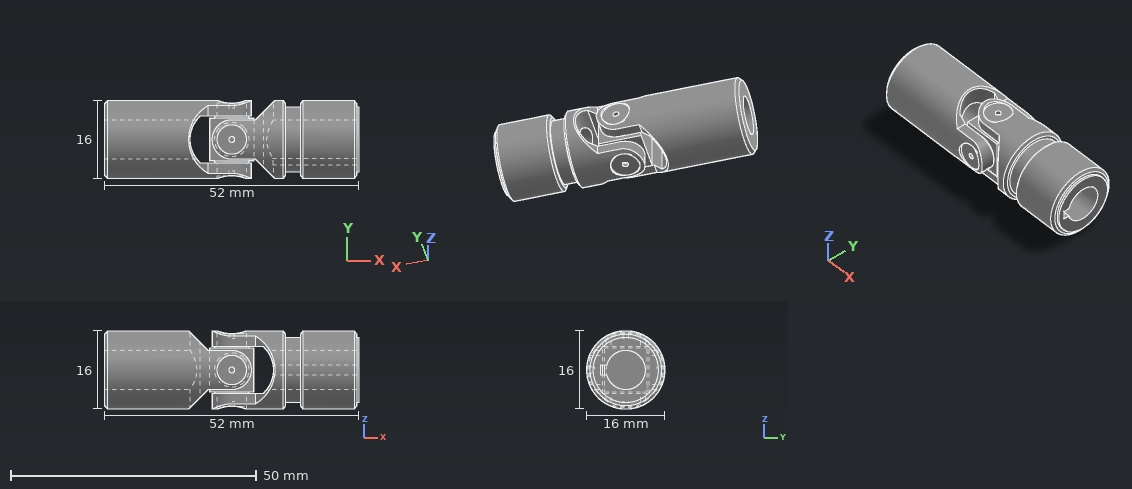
import cadquery as cq
import math


hub_radius = 8.0
hub_length = 26.0
bore_diameter = 8.0
neck_radius = 13.3 / 2
groove_start = 11.0
groove_width = 3.0
collar_length = 0.5
chamfer_depth = 0.7
chamfer_length = 0.5
keyway_width = 2.0
keyway_reach = 5.2

ear_radius = 4.0
relief_start = 4.8
gap_width = 9.5
gap_end_radius = 6.5
gap_end_centre = 2.0

block_length = 9.0
block_width = 8.7
block_height = 9.0
shoulder_diameter = 7.0
pin_diameter = 6.0
centre_hole_diameter = 1.2
centre_hole_depth = 1.0

pin_reach = math.sqrt(hub_radius**2 - (pin_diameter / 2)**2)


def revolve_about_x(outline):
    """Solid of revolution from a closed XY outline that lies on the X axis."""
    return outline.close().revolve(360, (0, 0, 0), (1, 0, 0))


def plain_hub():
    outline = (
        cq.Workplane("XY")
        .moveTo(-ear_radius, 0)
        .lineTo(-ear_radius, hub_radius)
        .lineTo(hub_length - chamfer_depth, hub_radius)
        .lineTo(hub_length, hub_radius - chamfer_depth)
        .lineTo(hub_length, 0)
    )
    return revolve_about_x(outline)


def grooved_hub():
    groove_end = groove_start + groove_width
    sleeve_end = hub_length - collar_length
    rim_radius = hub_radius - chamfer_depth
    outline = (
        cq.Workplane("XY")
        .moveTo(-ear_radius, 0)
        .lineTo(-ear_radius, hub_radius)
        .lineTo(groove_start - chamfer_length, hub_radius)
        .lineTo(groove_start, rim_radius)
        .lineTo(groove_start, neck_radius)
        .lineTo(groove_end, neck_radius)
        .lineTo(groove_end, rim_radius)
        .lineTo(groove_end + chamfer_length, hub_radius)
        .lineTo(sleeve_end - chamfer_length, hub_radius)
        .lineTo(sleeve_end, rim_radius)
        .lineTo(sleeve_end, neck_radius)
        .lineTo(hub_length, neck_radius)
        .lineTo(hub_length, 0)
    )
    return revolve_about_x(outline)


def keyway():
    """Slot on the -Y side of the bore, along the whole hub."""
    slot = cq.Workplane("XY").box(hub_length, keyway_reach, keyway_width, centered=(False, False, True))
    return slot.translate((0, -keyway_reach, 0))


def ear_envelope():
    """Rounded ears that widen at 45 degrees to the full hub."""
    relief_end = relief_start + hub_radius - ear_radius
    return (
        cq.Workplane("XY")
        .moveTo(0, ear_radius)
        .threePointArc((-ear_radius, 0), (0, -ear_radius))
        .lineTo(relief_start, -ear_radius)
        .lineTo(relief_end, -hub_radius)
        .lineTo(hub_length, -hub_radius)
        .lineTo(hub_length, hub_radius)
        .lineTo(relief_end, hub_radius)
        .lineTo(relief_start, ear_radius)
        .close()
        .extrude(hub_radius, both=True)
    )


def ear_gap():
    """Opening between the ears, running through along Y, with a round inner end."""
    half_gap = gap_width / 2
    arc_start = gap_end_centre + math.sqrt(gap_end_radius**2 - half_gap**2)
    return (
        cq.Workplane("XZ")
        .moveTo(-ear_radius, -half_gap)
        .lineTo(arc_start, -half_gap)
        .threePointArc((gap_end_centre + gap_end_radius, 0), (arc_start, half_gap))
        .lineTo(-ear_radius, half_gap)
        .close()
        .extrude(hub_radius, both=True)
    )


def yoke(hub):
    bore = cq.Workplane("YZ").circle(bore_diameter / 2).extrude(hub_length)
    pin_hole = cq.Workplane("XY").circle(pin_diameter / 2).extrude(hub_radius, both=True)
    return hub.intersect(ear_envelope()).cut(ear_gap()).cut(bore).cut(pin_hole)


def cross():
    body = cq.Workplane("XY").box(block_length, block_width, block_height)
    planes = ("XY", "XZ")
    for plane in planes:
        shoulders = cq.Workplane(plane).circle(shoulder_diameter / 2).extrude(gap_width / 2, both=True)
        pins = cq.Workplane(plane).circle(pin_diameter / 2).extrude(pin_reach, both=True)
        body = body.union(shoulders).union(pins)
    for plane in planes:
        for side in (-1, 1):
            centre_hole = (
                cq.Workplane(plane)
                .workplane(offset=side * pin_reach)
                .circle(centre_hole_diameter / 2)
                .extrude(-side * centre_hole_depth)
            )
            body = body.cut(centre_hole)
    return body


grooved_yoke = yoke(grooved_hub()).cut(keyway())

plain_yoke = (
    yoke(plain_hub())
    .rotate((0, 0, 0), (0, 0, 1), 180)
    .rotate((0, 0, 0), (1, 0, 0), 90)
)

cross_body = cross()

bodies = [plain_yoke, grooved_yoke, cross_body]
result = cq.Compound.makeCompound([body.solids().val() for body in bodies])